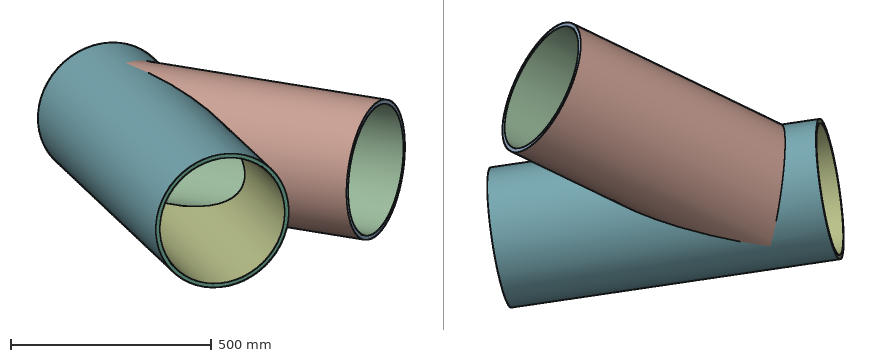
import cadquery as cq

run_length = 838.0
outer_diameter = 355.0
bore_diameter = 334.0
branch_angle = 45.0
short_leg = 152.0
long_leg = run_length - short_leg
branch_length = long_leg


def run_cylinder(diameter):
    """Cylinder along X spanning both ends of the straight run."""
    return cq.Workplane("YZ", origin=(-short_leg, 0, 0)).circle(diameter / 2).extrude(run_length)


def branch_cylinder(diameter):
    """Cylinder from the axis crossing to the open end of the branch."""
    along_x = cq.Workplane("YZ").circle(diameter / 2).extrude(branch_length)
    return along_x.rotate((0, 0, 0), (0, 0, 1), branch_angle)


def branched_solid(diameter):
    """Run and branch of one diameter, joined."""
    return run_cylinder(diameter).union(branch_cylinder(diameter))


result = branched_solid(outer_diameter).cut(branched_solid(bore_diameter))